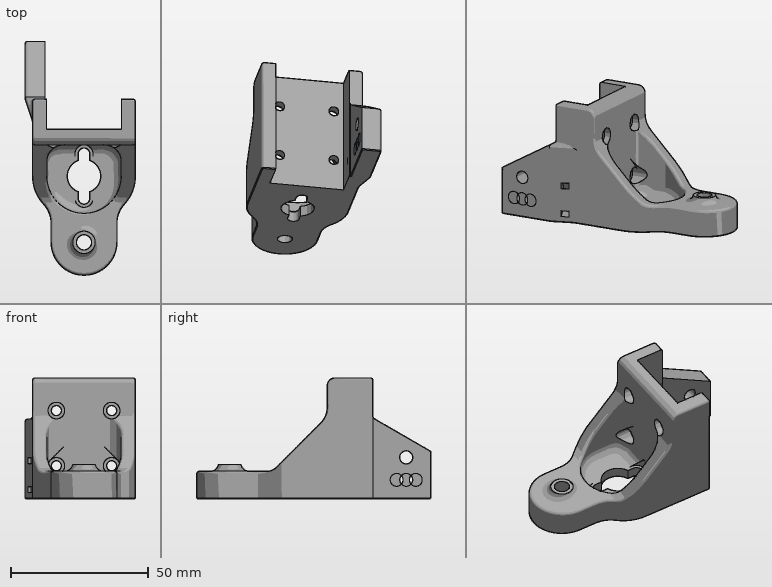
import cadquery as cq
import math


lug_radius = 12.0
base_height = 10.0
pivot_hole_diameter = 5.4
boss_height = 2.5
boss_lip_height = 0.6
boss_top_radius = 4.1
boss_flare_outer_radius = 7.05
boss_flare_radius = 3.0

half_width = 18.7
total_height = 43.9
wall_front_y = 35.3
wall_thickness = 5.8
leg_end_y = 52.0
leg_inner_x = 13.6
shoulder_center_y = 24.0
shoulder_radius = 15.0
neck_radius = 10.0
wall_top_radius = 3.0
wall_foot_radius = 8.0
slope_foot_radius = 5.0
slope_offset = 5.5
edge_radius = 1.0
bottom_chamfer = 0.3

bowl_radius = 13.5
bowl_corner_radius = 6.0
bowl_floor_z = 4.0
bowl_floor_radius = 4.0
keyhole_radius = 6.0
key_slot_width = 4.2
key_slot_center_distance = 8.1
key_slot_margin = 1.2

screw_x = 10.0
screw_low_z = 12.0
screw_pitch_z = 20.0
screw_hole_diameter = 3.6
screw_head_diameter = 6.0
screw_head_depth = 2.5

plate_end_y = 72.9
plate_outer_x = -21.4
plate_inner_x = -14.1
plate_top_z = 28.95
plate_end_z = 17.2
plate_slope_angle = 30.0
ramp_start_y = 43.9
ramp_foot_radius = 6.0
ramp_top_radius = 3.0
plate_hole_diameter = 4.7
plate_hole_y = 64.0
plate_hole_z = 15.0
lobe_z = 6.9
lobe_pitch = 3.5
lobe_count = 3
window_clearance = 0.1

tie_y = 47.1
tie_z = 8.6
tie_width = 3.0
tie_inner_radius = 4.25
tie_outer_radius = 6.4
tie_center_offset = 0.5

wall_back_y = wall_front_y + wall_thickness
plate_thickness = plate_inner_x - plate_outer_x
ramp_rise = -half_width - plate_outer_x
ramp_length = leg_end_y - ramp_start_y


def near(point):
    """Selector for the edge whose middle is nearest to a point."""
    return cq.selectors.NearestToPointSelector(point)


def plan_solid():
    """Vertical prism with the outline of the housing and lug."""
    shoulder_x = half_width - shoulder_radius
    neck_x = lug_radius + neck_radius
    reach = shoulder_radius + neck_radius
    across = neck_x - shoulder_x
    along = math.sqrt(reach**2 - across**2)
    neck_y = shoulder_center_y - along
    share = shoulder_radius / reach
    join = (shoulder_x + across * share, shoulder_center_y - along * share)
    turn = math.atan2(along, across)
    shoulder_mid = (
        shoulder_x + shoulder_radius * math.cos(turn / 2),
        shoulder_center_y - shoulder_radius * math.sin(turn / 2),
    )
    neck_mid = (
        neck_x - neck_radius * math.cos(turn / 2),
        neck_y + neck_radius * math.sin(turn / 2),
    )

    def mirrored(point):
        return (-point[0], point[1])

    return (
        cq.Workplane("XY")
        .moveTo(half_width, leg_end_y)
        .lineTo(half_width, shoulder_center_y)
        .threePointArc(shoulder_mid, join)
        .threePointArc(neck_mid, (lug_radius, neck_y))
        .lineTo(lug_radius, 0)
        .threePointArc((0, -lug_radius), (-lug_radius, 0))
        .lineTo(-lug_radius, neck_y)
        .threePointArc(mirrored(neck_mid), mirrored(join))
        .threePointArc(mirrored(shoulder_mid), (-half_width, shoulder_center_y))
        .lineTo(-half_width, leg_end_y)
        .close()
        .extrude(total_height)
    )


def side_solid():
    """Prism along X with the stepped and sloped side outline."""
    return (
        cq.Workplane("YZ")
        .polyline(
            [
                (-lug_radius, 0),
                (leg_end_y, 0),
                (leg_end_y, total_height),
                (wall_front_y, total_height),
                (wall_front_y, wall_front_y - slope_offset),
                (base_height + slope_offset, base_height),
                (-lug_radius, base_height),
            ]
        )
        .close()
        .extrude(half_width, both=True)
        .edges(near((0, wall_front_y, total_height)))
        .fillet(wall_top_radius)
        .edges(near((0, wall_front_y, wall_front_y - slope_offset)))
        .fillet(wall_foot_radius)
        .edges(near((0, base_height + slope_offset, base_height)))
        .fillet(slope_foot_radius)
    )


def rounded_block():
    """Housing and lug as a full block with its outer edges rounded."""
    leg_middle_y = (wall_front_y + wall_top_radius + leg_end_y) / 2
    block = plan_solid().intersect(side_solid())
    return (
        block.edges(near((half_width, leg_middle_y, total_height)))
        .add(block.edges(">Y and (not <Z)"))
        .fillet(edge_radius)
    )


def ramp_solid():
    """Prism with the plan outline of the side plate and its ramp, rounded along the top."""
    prism = (
        cq.Workplane("XY")
        .polyline(
            [
                (plate_inner_x, plate_end_y),
                (plate_outer_x, plate_end_y),
                (plate_outer_x, leg_end_y),
                (-half_width, ramp_start_y),
                (-half_width, wall_back_y),
                (plate_inner_x, wall_back_y),
            ]
        )
        .close()
        .extrude(plate_top_z)
        .edges(near((plate_outer_x, leg_end_y, plate_top_z / 2)))
        .fillet(ramp_top_radius)
        .edges(near((-half_width, ramp_start_y, plate_top_z / 2)))
        .fillet(ramp_foot_radius)
    )
    return prism.edges(near((plate_outer_x, (leg_end_y + plate_end_y) / 2, plate_top_z))).fillet(edge_radius)


def plate_waste():
    """Cut that slopes the plate down to its end and rounds its outer slope and end."""
    slope_run = (plate_top_z - plate_end_z) / math.tan(math.radians(plate_slope_angle))
    slope_start_y = plate_end_y - slope_run
    sloped_prism = (
        cq.Workplane("YZ", origin=(plate_outer_x, 0, 0))
        .polyline(
            [
                (slope_start_y, 0),
                (plate_end_y, 0),
                (plate_end_y, plate_end_z),
                (slope_start_y, plate_top_z),
            ]
        )
        .close()
        .extrude(plate_thickness)
    )
    slope_middle = (plate_outer_x, plate_end_y - slope_run / 2, (plate_top_z + plate_end_z) / 2)
    plate = (
        sloped_prism.edges(near(slope_middle))
        .add(sloped_prism.edges(near((plate_outer_x, plate_end_y, plate_end_z / 2))))
        .fillet(edge_radius)
    )
    return (
        cq.Workplane("XY", origin=(plate_outer_x, slope_start_y, 0))
        .box(plate_thickness, slope_run, plate_top_z + edge_radius, centered=False)
        .cut(plate)
    )


def bowl():
    """Hollow in front of the wall: round in front, floor rounded all around."""
    bowl_length = wall_front_y - shoulder_center_y
    return (
        cq.Workplane("XY", origin=(0, shoulder_center_y, bowl_floor_z))
        .moveTo(bowl_radius, 0)
        .lineTo(bowl_radius, bowl_length)
        .lineTo(-bowl_radius, bowl_length)
        .lineTo(-bowl_radius, 0)
        .threePointArc((0, -bowl_radius), (bowl_radius, 0))
        .close()
        .extrude(total_height - wall_top_radius - bowl_floor_z)
        .edges("|Z and >Y")
        .fillet(bowl_corner_radius)
        .faces("<Z")
        .edges()
        .fillet(bowl_floor_radius)
    )


def keyhole():
    """Round opening with two slots, and a flat margin around the slots."""
    floor = cq.Workplane("XY", origin=(0, shoulder_center_y, bowl_floor_z))
    slot_length = 2 * key_slot_center_distance + key_slot_width
    opening = (
        floor.circle(keyhole_radius)
        .extrude(-bowl_floor_z)
        .union(floor.slot2D(slot_length, key_slot_width, 90).extrude(-bowl_floor_z))
    )
    margin_width = key_slot_width + 2 * key_slot_margin
    margin = floor.slot2D(slot_length + 2 * key_slot_margin, margin_width, 90).extrude(bowl_floor_radius)
    return opening.union(margin)


def wall_plane(y):
    """Sketch plane parallel to the wall; its normal points to -Y."""
    return cq.Workplane("XZ", origin=(0, y, 0))


def screw_places():
    """Positions (x, z) of the four wall screws."""
    return [(x, z) for x in (-screw_x, screw_x) for z in (screw_low_z, screw_low_z + screw_pitch_z)]


def screw_heads():
    """Recesses for the screw heads, open toward the bowl."""
    return (
        wall_plane(wall_front_y + screw_head_depth)
        .pushPoints(screw_places())
        .circle(screw_head_diameter / 2)
        .extrude(screw_head_depth + bowl_corner_radius)
    )


def screw_holes():
    """Screw holes through the wall."""
    return (
        wall_plane(wall_back_y)
        .pushPoints(screw_places())
        .circle(screw_hole_diameter / 2)
        .extrude(wall_thickness)
    )


def head_relief(side):
    """Cut from a lower screw head to the bowl, under a 45 degree roof tangent to the head."""
    radius = screw_head_diameter / 2
    tangent = radius * math.sqrt(0.5)
    inner = bowl_radius - bowl_corner_radius
    roof_z = screw_low_z + tangent + (screw_x - inner) + tangent
    return (
        wall_plane(wall_front_y)
        .polyline(
            [
                (side * (screw_x + tangent), screw_low_z + tangent),
                (side * inner, roof_z),
                (side * inner, screw_low_z),
                (side * screw_x, screw_low_z),
            ]
        )
        .close()
        .extrude(bowl_corner_radius)
    )


def boss():
    """Flared boss for the pivot, solid until the pivot hole is cut."""
    lip_z = base_height + boss_height - boss_lip_height
    flare_center_z = base_height + boss_flare_radius
    flare_drop = flare_center_z - lip_z

    def flare_x(drop):
        return boss_flare_outer_radius - math.sqrt(boss_flare_radius**2 - drop**2)

    middle_drop = (flare_drop + boss_flare_radius) / 2
    return (
        cq.Workplane("XZ")
        .moveTo(0, base_height)
        .lineTo(boss_flare_outer_radius, base_height)
        .threePointArc((flare_x(middle_drop), flare_center_z - middle_drop), (flare_x(flare_drop), lip_z))
        .lineTo(boss_top_radius, base_height + boss_height)
        .lineTo(0, base_height + boss_height)
        .close()
        .revolve(360, (0, 0, 0), (0, 1, 0))
    )


def tie_channel():
    """Curved tunnel for a cable tie, with both mouths on the ramp."""
    slope = ramp_rise / ramp_length
    ramp_x = -half_width - slope * (tie_y - ramp_start_y)
    ramp_plane = cq.Plane((ramp_x, tie_y, tie_z), (1, slope, 0), (-slope, 1, 0))
    return (
        cq.Workplane(ramp_plane)
        .center(-tie_center_offset, 0)
        .circle(tie_outer_radius)
        .circle(tie_inner_radius)
        .extrude(tie_width / 2, both=True)
    )


def plate_bore(diameter, y, z):
    """Cylinder through the plate along X."""
    return (
        cq.Workplane("YZ", origin=(plate_outer_x, y, z))
        .circle(diameter / 2)
        .extrude(plate_thickness)
    )


def lobe_centers():
    """Positions along Y of the lobes."""
    middle = (lobe_count - 1) / 2
    return [plate_hole_y + (i - middle) * lobe_pitch for i in range(lobe_count)]


def lobes():
    """Three overlapping cylinders in a row."""
    row = cq.Workplane("XY")
    for y in lobe_centers():
        row = row.union(plate_bore(plate_hole_diameter, y, lobe_z))
    return row


def leg_gap():
    """Opening between the legs, through the full height."""
    return cq.Workplane("XY", origin=(0, wall_back_y, 0)).box(
        2 * leg_inner_x, leg_end_y - wall_back_y, total_height, centered=(True, False, False)
    )


def outer_body():
    """Housing block with the side plate blended onto it."""
    joined = rounded_block().union(ramp_solid())
    ramp_joint = near((-half_width, (ramp_start_y + leg_end_y) / 2, plate_top_z))
    blended = joined.edges(ramp_joint).fillet(edge_radius)
    return blended.cut(plate_waste()).faces("<Z").chamfer(bottom_chamfer)


def make_housing():
    """Housing with its side plate, lug and all openings."""
    body = outer_body().cut(leg_gap()).cut(screw_heads()).cut(bowl())
    bowl_rim = near((0, shoulder_center_y - bowl_radius, base_height))
    body = body.edges(bowl_rim).fillet(edge_radius)
    body = body.cut(screw_holes()).cut(keyhole())
    for side in (-1, 1):
        body = body.cut(head_relief(side))
    pivot_hole = cq.Workplane("XY").circle(pivot_hole_diameter / 2).extrude(base_height + boss_height)
    body = body.union(boss()).cut(pivot_hole)
    body = body.cut(plate_bore(plate_hole_diameter, plate_hole_y, plate_hole_z))
    return body.cut(lobes()).cut(tie_channel())


def make_insert():
    """Plug that fills the three-lobed slot but for a window where neighbouring lobes overlap."""
    plug = lobes()
    centers = lobe_centers()
    window_diameter = plate_hole_diameter - window_clearance
    for y, next_y in zip(centers, centers[1:]):
        window = plate_bore(window_diameter, y, lobe_z).intersect(plate_bore(window_diameter, next_y, lobe_z))
        plug = plug.cut(window)
    return plug


housing = make_housing()
insert = make_insert()
result = cq.Compound.makeCompound([housing.val(), insert.val()])